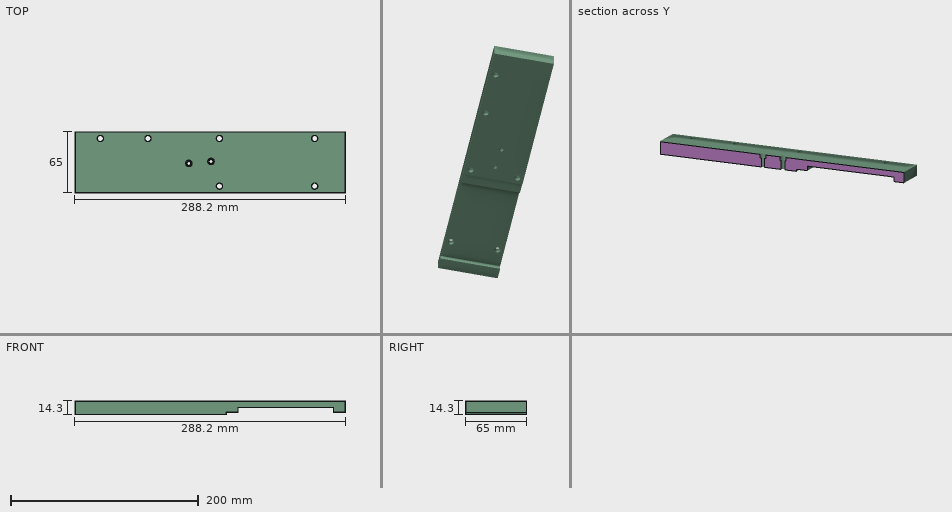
import cadquery as cq

LENGTH = 288.25
WIDTH = 65.0
THICKNESS = 14.32

LAND_LENGTH = 12.7
POCKET_LENGTH = 101.6
LAND_THICKNESS = 12.0
POCKET_THICKNESS = 7.0

MOUNT_DIAMETER = 6.35
MOUNT_ROW_SPACING = 50.8
FIRST_MOUNT_X = 26.95
SHORT_MOUNT_PITCH = 50.8
MIDDLE_MOUNT_PITCH = 76.2
LONG_MOUNT_PITCH = 101.6

SCREW_DIAMETER = 4.17
COUNTERBORE_DIAMETER = 6.99
COUNTERBORE_DEPTH = 4.0
SCREW_CENTERS = [(121.35, 31.3), (144.95, 33.4)]


def stepped_plate():
    """Full-width plate whose underside is relieved by a step and a cross pocket."""
    land_z = THICKNESS - LAND_THICKNESS
    pocket_z = THICKNESS - POCKET_THICKNESS
    pocket_end = LENGTH - LAND_LENGTH
    pocket_start = pocket_end - POCKET_LENGTH
    step_x = pocket_start - LAND_LENGTH
    profile = [
        (0, 0),
        (step_x, 0),
        (step_x, land_z),
        (pocket_start, land_z),
        (pocket_start, pocket_z),
        (pocket_end, pocket_z),
        (pocket_end, land_z),
        (LENGTH, land_z),
        (LENGTH, THICKNESS),
        (0, THICKNESS),
    ]
    return cq.Workplane("XZ").polyline(profile).close().extrude(-WIDTH)


def top_plane(plate):
    """Top face workplane that keeps the plate's own X and Y coordinates."""
    return plate.faces(">Z").workplane(origin=(0, 0, THICKNESS))


def drill_mounting_holes(plate):
    """Drill four back-row and two front-row holes, the rows symmetric about the centreline."""
    second_x = FIRST_MOUNT_X + SHORT_MOUNT_PITCH
    third_x = second_x + MIDDLE_MOUNT_PITCH
    fourth_x = third_x + LONG_MOUNT_PITCH
    front_y = (WIDTH - MOUNT_ROW_SPACING) / 2
    back_y = front_y + MOUNT_ROW_SPACING
    centers = [(x, back_y) for x in (FIRST_MOUNT_X, second_x, third_x, fourth_x)]
    centers += [(x, front_y) for x in (third_x, fourth_x)]
    return top_plane(plate).pushPoints(centers).hole(MOUNT_DIAMETER)


def drill_screw_holes(plate):
    """Drill the through holes with counterbores sunk from the top face."""
    located = top_plane(plate).pushPoints(SCREW_CENTERS)
    return located.cboreHole(SCREW_DIAMETER, COUNTERBORE_DIAMETER, COUNTERBORE_DEPTH)


plate = stepped_plate()
plate = drill_mounting_holes(plate)
result = drill_screw_holes(plate)